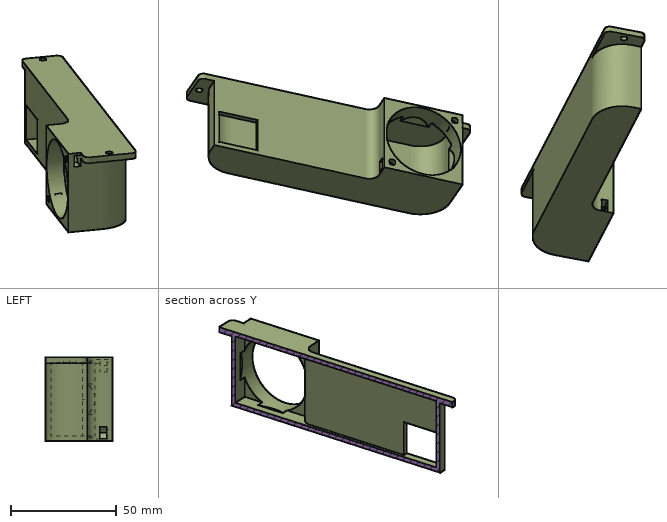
import cadquery as cq
import math

length = 136.5
height = 40.0
wall = 2.5

body_left = 7.2
duct_depth = 19.9
block_depth = 31.9
block_left = 89.4
block_right = block_left + height
step_fillet = 5.0
back_radius = 15.0

flange_thickness = 3.0
flange_right_depth = 25.9
flange_radius = 2.7
screw_diameter = 3.1
flange_holes = [(3.4, -10.0), (132.9, -12.8)]

bore_diameter = 38.0
fan_plate = 8.5
fan_hole_offset = 16.0
fan_x = (block_left + block_right) / 2
fan_z = height / 2

window_width = 19.8
window_top = 19.9
nut_setback = 2.9
nut_slot_width = 3.1
nut_across_flats = 5.7


def box(x0, x1, y0, y1, z0, z1):
    """Box given by its limits along each axis."""
    return cq.Workplane("XY").box(x1 - x0, y1 - y0, z1 - z0, centered=False).translate((x0, y0, z0))


def stepped_duct(inset, step_x, front_y, inner_radius, z0, z1):
    """L-shaped duct with rounded back corners and a rounded inside step, inset from the body sides."""
    left = body_left + inset
    right = block_right - inset
    step_y = -duct_depth + inset
    duct = box(left, right, step_y, -inset, z0, z1)
    duct = duct.edges("|Z and >Y").fillet(back_radius - inset)
    block = box(step_x, right, front_y, step_y, z0, z1)
    corner = box(step_x - inner_radius, step_x, step_y - inner_radius, step_y, z0, z1)
    round_cut = (
        cq.Workplane("XY", origin=(0, 0, z0))
        .center(step_x - inner_radius, step_y - inner_radius)
        .circle(inner_radius)
        .extrude(z1 - z0)
    )
    return duct.union(block).union(corner.cut(round_cut))


def mounting_flange():
    """Top plate, deeper beside the fan block, with rounded outer corners."""
    z0 = height - flange_thickness
    plate = box(0, block_right, -duct_depth, 0, z0, height)
    plate = plate.edges("|Z and <X").fillet(flange_radius)
    ear = box(block_left, length, -flange_right_depth, 0, z0, height)
    ear = ear.edges("|Z and >X").fillet(flange_radius)
    return plate.union(ear)


def fan_face(y):
    """Sketch plane facing the back, centred on the fan axis."""
    return cq.Workplane("XZ", origin=(fan_x, y, fan_z))


def fan_opening():
    """Round bore whose overlap with the duct walls runs out on sloping flats."""
    bore = fan_face(-block_depth).circle(bore_diameter / 2).extrude(-fan_plate)
    inner_side = height - 2 * wall
    runout = (
        fan_face(-block_depth + fan_plate)
        .rect(bore_diameter, bore_diameter)
        .workplane(offset=-(block_depth - duct_depth - fan_plate))
        .rect(inner_side, inner_side)
        .loft()
    )
    runout = runout.intersect(fan_face(-block_depth).circle(bore_diameter / 2).extrude(-block_depth))
    return bore.union(runout)


def fan_screw(side):
    """Blind screw hole with a hexagonal-ended nut slot open to the nearest side of the block."""
    offset = side * fan_hole_offset
    hole = (
        fan_face(-block_depth)
        .center(offset, offset)
        .circle(screw_diameter / 2)
        .extrude(-(nut_setback + nut_slot_width))
    )
    nut_front = -block_depth + nut_setback
    nut_corners = nut_across_flats / math.cos(math.pi / 6)
    nut = (
        fan_face(nut_front)
        .center(offset, offset)
        .polygon(6, nut_corners)
        .extrude(-nut_slot_width)
    )
    mouth_length = height / 2 - fan_hole_offset
    mouth = (
        fan_face(nut_front)
        .center(offset + side * mouth_length / 2, offset)
        .rect(mouth_length, nut_across_flats)
        .extrude(-nut_slot_width)
    )
    return hole.union(nut).union(mouth)


body = stepped_duct(0, block_left, -block_depth, step_fillet, 0, height)
body = body.union(mounting_flange())

cavity_step_x = fan_x - bore_diameter / 2
cavity_front = -block_depth + fan_plate
cavity_fillet = -duct_depth + wall - cavity_front
body = body.cut(stepped_duct(wall, cavity_step_x, cavity_front, cavity_fillet, wall, height - wall))

body = body.cut(fan_opening())
for side in (-1, 1):
    body = body.cut(fan_screw(side))

window_left = body_left + wall
body = body.cut(
    box(window_left, window_left + window_width, -duct_depth, -duct_depth + wall, wall, window_top)
)

screw_cut = (
    cq.Workplane("XY", origin=(0, 0, height - flange_thickness))
    .pushPoints(flange_holes)
    .circle(screw_diameter / 2)
    .extrude(flange_thickness)
)
result = body.cut(screw_cut)